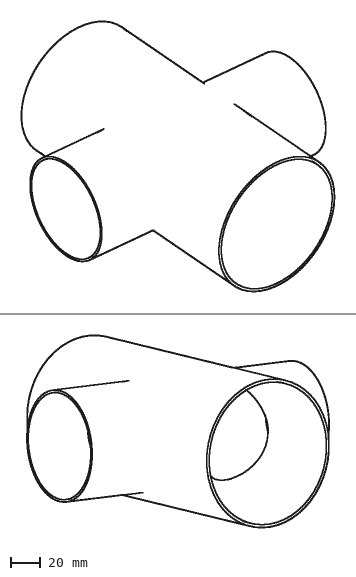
import cadquery as cq

run_length = 209.5
run_outer_diameter = 101.6
run_inner_diameter = 97.5

branch_span = 196.8
branch_outer_diameter = 76.3
branch_inner_diameter = 73.0

weld_radius = 1.57


def rod_along_x(diameter, length):
    return cq.Workplane("YZ").circle(diameter / 2).extrude(length / 2, both=True)


def rod_along_y(diameter, length):
    return cq.Workplane("XZ").circle(diameter / 2).extrude(length / 2, both=True)


run = rod_along_x(run_outer_diameter, run_length)
branches = rod_along_y(branch_outer_diameter, branch_span)
cross = run.union(branches)

cross = cross.edges("not(%LINE or %CIRCLE)").fillet(weld_radius)

run_bore = rod_along_x(run_inner_diameter, run_length)
branch_bore = rod_along_y(branch_inner_diameter, branch_span)
result = cross.cut(run_bore).cut(branch_bore)